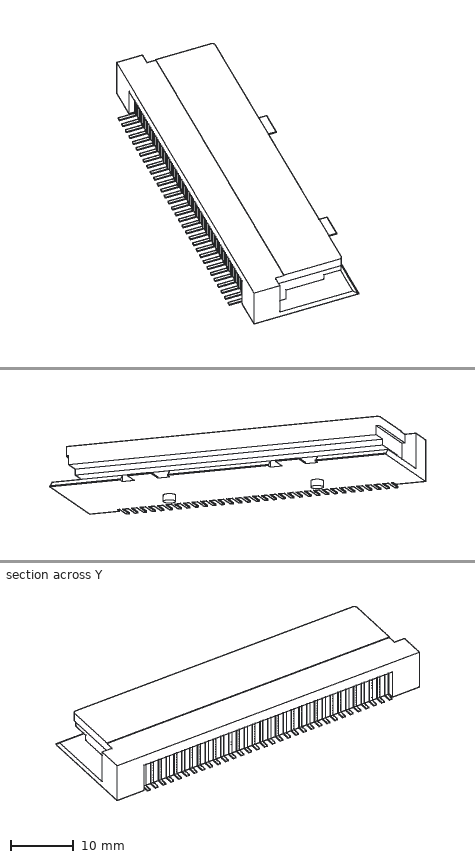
import cadquery as cq

length = 57.0
body_height = 6.85
floor_thickness = 1.0

floor_flat_depth = 17.0
ledge_thickness = 0.15
bevel_end = floor_flat_depth + floor_thickness - ledge_thickness
floor_depth = 18.0

block_depth = 4.45
lid_length = 53.25
lid_corner_radius = 0.5
upper_length = lid_length - 2 * lid_corner_radius
upper_depth = 15.95

throat_depth = 6.5
throat_top = 2.95
mouth_depth = 13.0
mouth_top = 3.95

lid_front = 5.9
lid_raise = 0.1
lid_bottom = 5.4

recess_length = 46.85
recess_height = 4.95
recess_depth = 1.0
contact_count = 32
contact_span = 45.6
contact_pitch = contact_span / (contact_count - 1)
contact_width = 0.5
contact_thickness = 0.2
contact_reach = 2.0

station_offset = 12.55
tab_width = 4.0
tab_end = 20.0
tab_thickness = 0.2
notch_width = 8.0
peg_diameter = 2.0
peg_length = 1.0
peg_y = throat_depth


def box(x_center, x_size, y_min, y_max, z_min, z_max):
    """Axis-aligned block centred on x_center along X."""
    return (
        cq.Workplane("XY")
        .box(x_size, y_max - y_min, z_max - z_min, centered=(True, False, False))
        .translate((x_center, y_min, z_min))
    )


def extrude_profile(points, x_size):
    """Closed (Y, Z) outline extruded symmetrically along X."""
    return cq.Workplane("YZ").polyline(points).close().extrude(x_size / 2, both=True)


def make_base():
    """Front block and floor plate as one full-length L profile."""
    return extrude_profile(
        [
            (0, 0),
            (floor_depth, 0),
            (floor_depth, ledge_thickness),
            (bevel_end, ledge_thickness),
            (floor_flat_depth, floor_thickness),
            (block_depth, floor_thickness),
            (block_depth, body_height),
            (0, body_height),
        ],
        length,
    )


def make_upper():
    """Stepped overhang that roofs the card slot."""
    return extrude_profile(
        [
            (block_depth, floor_thickness),
            (throat_depth, floor_thickness),
            (throat_depth, throat_top),
            (mouth_depth, throat_top),
            (mouth_depth, mouth_top),
            (upper_depth, mouth_top),
            (upper_depth, lid_bottom),
            (block_depth, lid_bottom),
        ],
        upper_length,
    )


def make_lid():
    """Roof plate with two rounded rear corners, slightly raised behind a front strip level with the block."""
    plate = box(0, lid_length, block_depth, upper_depth, lid_bottom, body_height + lid_raise)
    plate = plate.faces(">Y").edges("|Z").fillet(lid_corner_radius)
    front_strip = box(0, lid_length, block_depth, lid_front, body_height, body_height + lid_raise)
    return plate.cut(front_strip)


def make_contact(x):
    """L-shaped contact: a vertical leg on the recess wall and a foot reaching forward."""
    leg_front = recess_depth - contact_thickness
    leg = box(x, contact_width, leg_front, recess_depth, 0, recess_height)
    foot = box(x, contact_width, -contact_reach, recess_depth, 0, contact_thickness)
    return leg.union(foot)


result = make_base().union(make_upper()).union(make_lid())
result = result.cut(box(0, recess_length, 0, recess_depth, 0, recess_height))

for index in range(contact_count):
    result = result.union(make_contact(index * contact_pitch - contact_span / 2))

for station_x in (-station_offset, station_offset):
    notch = box(station_x, notch_width, floor_flat_depth, floor_depth, 0, floor_thickness)
    tab = box(station_x, tab_width, peg_y, tab_end, 0, tab_thickness)
    peg = (
        cq.Workplane("XY")
        .center(station_x, peg_y)
        .circle(peg_diameter / 2)
        .extrude(-peg_length)
    )
    result = result.cut(notch).union(tab).union(peg)